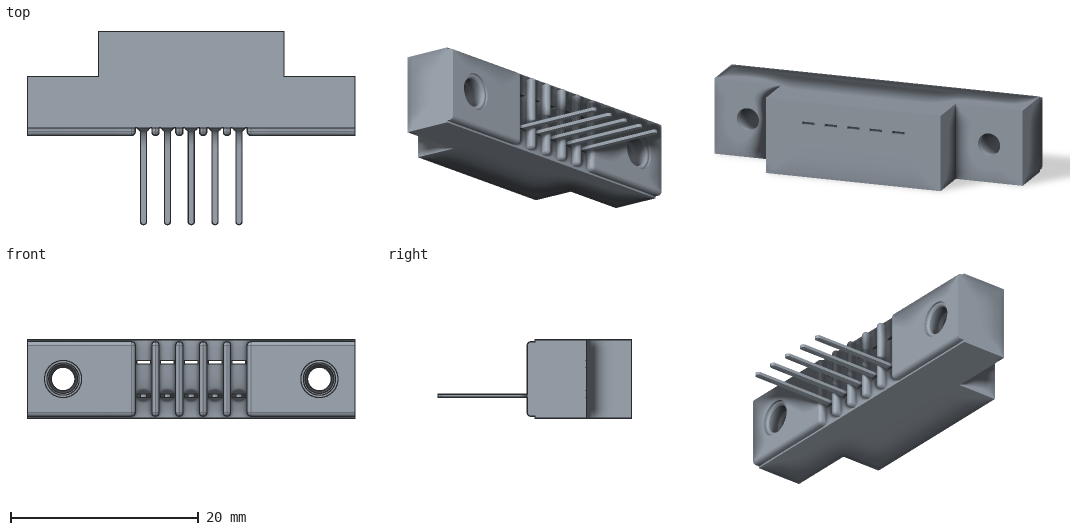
import cadquery as cq

HOUSING_LENGTH = 34.92
HOUSING_HEIGHT = 8.38
EAR_DEPTH = 5.49
TONGUE_LENGTH = 19.77
TONGUE_DEPTH = 4.80
HOUSING_DEPTH = EAR_DEPTH + TONGUE_DEPTH

RAISED_DEPTH = 0.82
RAISED_HEIGHT = 7.94
EDGE_RADIUS = 0.42
RIB_WIDTH = 0.78
RIB_RADIUS = 0.38

FRONT_RADIUS_STEP = 0.01

CONTACT_COUNT = 5
CONTACT_PITCH = 2.54
ROW_OFFSET = 1.79
SLOT_WIDTH = 1.43
SLOT_HEIGHT = 0.34

PIN_WIDTH = 0.66
PIN_REACH = 9.51
FLARE_LENGTH = (SLOT_WIDTH - PIN_WIDTH) / 2

BUSHING_SPACING = 27.31
BUSHING_DIAMETER = 3.96
BUSHING_MOUTH_DIAMETER = 3.08
BUSHING_BORE_DIAMETER = 2.50
BUSHING_RECESS = 0.22
BUSHING_CHAMFER = 0.18
BUSHING_TAPER_START = 1.60

contact_xs = [CONTACT_PITCH * (i - (CONTACT_COUNT - 1) / 2) for i in range(CONTACT_COUNT)]
rib_xs = [x + CONTACT_PITCH / 2 for x in contact_xs[:-1]]
land_inner_x = CONTACT_PITCH * CONTACT_COUNT / 2 - RIB_WIDTH / 2
land_length = HOUSING_LENGTH / 2 - land_inner_x
bushing_xs = [-BUSHING_SPACING / 2, BUSHING_SPACING / 2]


def block(length, depth, height, x, y_front, z=0):
    """Box centred on x and z, with its front at y_front."""
    return cq.Workplane("XY").box(length, depth, height).translate((x, y_front + depth / 2, z))


def make_land(side):
    """Raised pad on one ear: side is -1 for the -X ear, +1 for the +X ear."""
    x = side * (land_inner_x + land_length / 2)
    land = block(land_length, RAISED_DEPTH, RAISED_HEIGHT, x, -RAISED_DEPTH)
    inner_face = "<X" if side > 0 else ">X"
    outer_face = ">X" if side > 0 else "<X"
    land = land.faces(inner_face).edges("|Y").fillet(EDGE_RADIUS)
    front_edges = land.faces("<Y").edges(f"not {outer_face}")
    return front_edges.fillet(EDGE_RADIUS - FRONT_RADIUS_STEP)


def make_rib(x):
    """Upright rib between neighbouring contacts, rounded over its front edges."""
    rib = block(RIB_WIDTH, RAISED_DEPTH, RAISED_HEIGHT, x, -RAISED_DEPTH)
    rib = rib.edges("|Y").fillet(RIB_RADIUS)
    return rib.faces("<Y").edges().fillet(RIB_RADIUS - FRONT_RADIUS_STEP)


def make_bushing_hole(x):
    """Solid to cut along Y through one ear and its land."""
    profile = cq.Workplane("XZ", origin=(x, EAR_DEPTH, 0)).circle(BUSHING_DIAMETER / 2)
    return profile.extrude(EAR_DEPTH + RAISED_DEPTH)


def make_housing():
    """Ears and tongue in one block, with lands and ribs in front, contact slots and bushing holes."""
    body = block(HOUSING_LENGTH, EAR_DEPTH, HOUSING_HEIGHT, 0, 0)
    body = body.union(block(TONGUE_LENGTH, TONGUE_DEPTH, HOUSING_HEIGHT, 0, EAR_DEPTH))
    for side in (-1, 1):
        body = body.union(make_land(side))
    for x in rib_xs:
        body = body.union(make_rib(x))
    for z in (-ROW_OFFSET, ROW_OFFSET):
        for x in contact_xs:
            body = body.cut(block(SLOT_WIDTH, HOUSING_DEPTH, SLOT_HEIGHT, x, 0, z))
    for x in bushing_xs:
        body = body.cut(make_bushing_hole(x))
    return body


def make_bushing(x):
    """Sleeve set back from the land, its wide chamfered mouth tapering to a narrower bore."""
    outer_radius = BUSHING_DIAMETER / 2
    mouth_radius = BUSHING_MOUTH_DIAMETER / 2
    bore_radius = BUSHING_BORE_DIAMETER / 2
    front_y = BUSHING_RECESS - RAISED_DEPTH
    taper_start_y = BUSHING_TAPER_START - RAISED_DEPTH
    taper_end_y = taper_start_y + mouth_radius - bore_radius
    profile = (
        cq.Workplane("XY", origin=(x, 0, 0))
        .moveTo(outer_radius, EAR_DEPTH)
        .lineTo(outer_radius, front_y)
        .lineTo(mouth_radius + BUSHING_CHAMFER, front_y)
        .lineTo(mouth_radius, front_y + BUSHING_CHAMFER)
        .lineTo(mouth_radius, taper_start_y)
        .lineTo(bore_radius, taper_end_y)
        .lineTo(bore_radius, EAR_DEPTH)
        .close()
    )
    return profile.revolve(360, (0, 0, 0), (0, 1, 0))


def make_pin(x):
    """Flat contact filling its lower slot, with a neck tapering at 45 degrees and a round tip."""
    half_slot = SLOT_WIDTH / 2
    half_pin = PIN_WIDTH / 2
    flare_end = -FLARE_LENGTH
    tip_start = half_pin - PIN_REACH - RAISED_DEPTH
    profile = (
        cq.Workplane("XY", origin=(x, 0, -ROW_OFFSET - SLOT_HEIGHT / 2))
        .moveTo(-half_slot, HOUSING_DEPTH)
        .lineTo(-half_slot, 0)
        .lineTo(-half_pin, flare_end)
        .lineTo(-half_pin, tip_start)
        .radiusArc((half_pin, tip_start), -half_pin)
        .lineTo(half_pin, flare_end)
        .lineTo(half_slot, 0)
        .lineTo(half_slot, HOUSING_DEPTH)
        .close()
    )
    return profile.extrude(SLOT_HEIGHT)


housing = make_housing()
bushings = [make_bushing(x) for x in bushing_xs]
pins = [make_pin(x) for x in contact_xs]

result = cq.Compound.makeCompound(
    [housing.val()] + [bushing.val() for bushing in bushings] + [pin.val() for pin in pins]
)